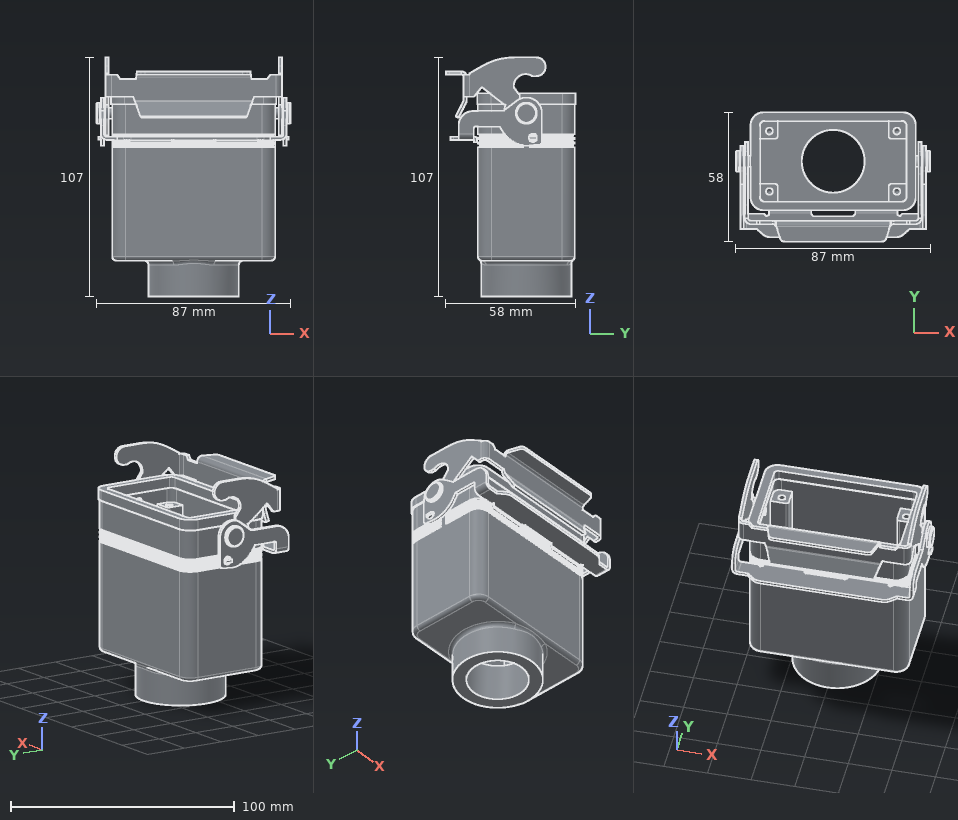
import cadquery as cq
import math


cut_margin = 2.0
selection_margin = 0.1

body_length = 73.0
body_width = 43.5
corner_radius = 6.0
body_bottom = 16.0
body_bottom_radius = 2.0
rim_height = 5.0
rim_top = 91.0
rim_bottom = rim_top - rim_height
rim_length = 74.0
rim_width = 44.0

opening_length = 65.4
opening_width = 36.0
opening_radius = 1.8
cavity_undercut = 0.3
cavity_radius = 3.0
floor_thickness = 3.0
floor_top = body_bottom + floor_thickness

collar_diameter = 40.5
collar_blend_radius = 1.8
cable_hole_diameter = 28.0

groove_count = 3
groove_top = 72.5
groove_pitch = 2.1
groove_mouth = 1.5
groove_floor_chamfer = 0.5
groove_pad_width = 2.9
groove_depth = 1.0

post_top = 79.4
post_size = 7.9
post_corner_radius = 1.2
post_wall_lap = 1.0
screw_x = 28.5
screw_y = 13.5
screw_hole_diameter = 3.1
screw_hole_depth = 15.0
drill_point_height = screw_hole_diameter / 2

pivot_z = 82.0
pin_shaft_diameter = 5.0
pin_tail_diameter = 3.3
pin_head_diameter = 9.5
pin_head_chamfer = 0.5
pin_head_inner_x = 42.0
pin_head_outer_x = 43.5
pin_mark_diameter = 0.6
pin_mark_depth = 0.3

sheet = 1.5
inner_bend_radius = 1.2
outer_bend_radius = inner_bend_radius + sheet
bail_outer_x = 41.5
lever_outer_x = 39.5

bail_eye_radius = 7.0
bail_arm_top = 83.0
bail_arm_bottom = 76.0
bail_slope_angle = math.radians(37)
bail_elbow_radius = 6.5
bail_back_y = -23.4
bail_front_y = -30.3
bail_plate_bottom = 70.0
bail_plate_top = bail_plate_bottom + sheet
bail_bend_top = bail_plate_bottom + outer_bend_radius
bail_lobe_bottom = 67.4
bail_inner_corner_radius = 0.7
lobe_start_y = -11.9
lobe_arc_start = (-9.9, 72.8)
lobe_arc_middle = (-6.2, 69.3)
lobe_toe_start = (5.8, 67.8)
lobe_toe_radius = 1.3
lobe_toe_top = 69.0
lip_front_y = -34.0
lip_root_x = 34.2
lip_corner_x = 30.0
lip_corner_radius = 5.0
stop_tab_inner_x = 9.8
stop_tab_outer_x = 28.8
stop_tab_y = -22.0
stop_tab_bottom = 68.9
stop_tab_bend_radius = 1.0
plate_notch_depth = 1.1
plate_notch_corner = 0.9
relief_width = 2.1
bail_hole_y = 2.95
bail_hole_z = 71.0
bail_hole_diameter = 3.6
hole_lug_bottom = 70.2
hole_lug_top = 71.5
hole_lug_outer_x = 42.6

hook_top = 107.0
hook_nose_radius = 4.25
hook_nose_y = 4.4
hook_back_start_y = -5.5
hook_back_radius = 28.0
hook_back_angle = math.radians(30)
band_front_y = -28.1
band_back_y = band_front_y + sheet
band_bend_y = band_front_y + outer_bend_radius
band_top = 99.2
band_bottom = 89.3
band_notch_z = 97.3
band_notch_floor_x = 32.8
band_notch_top_x = 34.2
lever_hub_radius = 10.0
lever_neck_y = -2.9
lever_eye_radius = 5.5
hub_start_y = -9.3
arm_foot_y = -23.4
arm_notch_peak = (-19.9, 93.6)
arm_notch_end = (-9.8, 85.8)
hook_neck = (lever_neck_y, 90.0)
hook_mouth_tip = (-5.5, 93.5)
hook_mouth_top = (-1.4, 99.3)
hook_mouth_end = (2.7, 98.5)

flange_top = 100.7
flange_tip_y = -35.98
flange_outer_radius = 2.5
flange_inner_radius = flange_outer_radius - sheet
flange_root_half = 25.4
flange_tip_half = 23.3
flange_tip_radius = 2.0
flap_bend_z = 87.8
flap_angle = math.radians(27)
flap_length = 7.5
flap_root_half = 27.0
flap_tip_half = 23.6
flap_tip_radius = 1.5


def rounded_block(length, width, bottom, top, radius):
    """Upright block, centred in X and Y, with rounded vertical edges."""
    block = cq.Workplane("XY").box(length, width, top - bottom, centered=(True, True, False))
    return block.edges("|Z").fillet(radius).translate((0, 0, bottom))


def span_box(x_span, y_span, z_span):
    """Box given by its (low, high) limits along each axis."""
    size = [high - low for low, high in (x_span, y_span, z_span)]
    corner = (x_span[0], y_span[0], z_span[0])
    return cq.Workplane("XY").box(*size, centered=False).translate(corner)


def x_cylinder(diameter, y, z, x_start, x_end):
    """Cylinder along X."""
    circle = cq.Workplane("YZ", origin=(x_start, y, z)).circle(diameter / 2)
    return circle.extrude(x_end - x_start)


def both_sides(shape):
    """The shape together with its mirror image across the YZ plane."""
    return shape.union(shape.mirror("YZ"))


def groove_ring(top):
    """Ring that cuts one groove around the body, with sloped corners at the groove floor."""
    bottom = top - groove_mouth
    floor_length = body_length - 2 * groove_depth
    floor_width = body_width - 2 * groove_depth
    outside = rounded_block(body_length + cut_margin, body_width + cut_margin, bottom, top, corner_radius)
    core = rounded_block(floor_length, floor_width, bottom, top, corner_radius - groove_depth)
    floor_box = cq.selectors.BoxSelector(
        (-body_length / 2, -body_width / 2, bottom - cut_margin),
        (body_length / 2, body_width / 2, top + cut_margin),
        boundingbox=True,
    )
    ring = outside.cut(core)
    return ring.edges(floor_box).edges("not |Z").chamfer(groove_floor_chamfer)


def groove_pad():
    """Bridge across the grooves below the pivot on the +X side."""
    pad_bottom = groove_top - (groove_count - 1) * groove_pitch - groove_mouth
    return span_box(
        (body_length / 2 - groove_depth, body_length / 2),
        (-groove_pad_width / 2, groove_pad_width / 2),
        (pad_bottom, groove_top),
    )


def screw_post(x_side, y_side):
    """Square screw post in one corner of the cavity, running on into both walls."""
    inner_x = opening_length / 2 - post_size
    inner_y = opening_width / 2 - post_size
    post = span_box(
        (inner_x, opening_length / 2 + post_wall_lap),
        (inner_y, opening_width / 2 + post_wall_lap),
        (body_bottom + body_bottom_radius, post_top),
    )
    post = post.edges("|Z and <X and <Y").fillet(post_corner_radius)
    if x_side < 0:
        post = post.mirror("YZ")
    if y_side < 0:
        post = post.mirror("XZ")
    return post


def screw_hole(x, y):
    """Blind hole with a conical drill point, opening at the post top."""
    radius = screw_hole_diameter / 2
    bottom = post_top - screw_hole_depth
    profile = (
        cq.Workplane("XZ")
        .moveTo(0, post_top)
        .lineTo(radius, post_top)
        .lineTo(radius, bottom)
        .lineTo(0, bottom - drill_point_height)
        .close()
    )
    return profile.revolve(360, (0, 0, 0), (0, 1, 0)).translate((x, y, 0))


def make_housing():
    shell = rounded_block(body_length, body_width, body_bottom, rim_bottom, corner_radius)
    shell = shell.faces("<Z").edges().fillet(body_bottom_radius)
    shell = shell.union(rounded_block(rim_length, rim_width, rim_bottom, rim_top, corner_radius))

    collar = cq.Workplane("XY").circle(collar_diameter / 2).extrude(floor_top)
    shell = shell.union(collar)
    reach = collar_diameter / 2 + selection_margin
    joint = cq.selectors.BoxSelector(
        (-reach, -reach, body_bottom - selection_margin),
        (reach, reach, body_bottom + body_bottom_radius),
        boundingbox=True,
    )
    shell = shell.edges(joint).fillet(collar_blend_radius)

    for index in range(groove_count):
        shell = shell.cut(groove_ring(groove_top - index * groove_pitch))
    shell = shell.union(both_sides(groove_pad()))

    undercut = 2 * cavity_undercut
    shell = shell.cut(rounded_block(opening_length, opening_width, rim_bottom, rim_top, opening_radius))
    cavity_length = opening_length + undercut
    cavity_width = opening_width + undercut
    shell = shell.cut(rounded_block(cavity_length, cavity_width, floor_top, rim_bottom, cavity_radius))

    for x_side in (-1, 1):
        for y_side in (-1, 1):
            shell = shell.union(screw_post(x_side, y_side))
            shell = shell.cut(screw_hole(x_side * screw_x, y_side * screw_y))

    shell = shell.cut(cq.Workplane("XY").circle(cable_hole_diameter / 2).extrude(floor_top + cut_margin))
    pin_bore = x_cylinder(pin_tail_diameter, 0, pivot_z, -body_length / 2, body_length / 2)
    return shell.cut(pin_bore)


def pivot_pin():
    """Pin on the +X side: tail in the housing wall, shaft through both arms, chamfered head."""
    tail_end = opening_length / 2 + cavity_undercut
    tail = x_cylinder(pin_tail_diameter, 0, pivot_z, tail_end, body_length / 2)
    mark = x_cylinder(pin_mark_diameter, 0, pivot_z, tail_end, tail_end + pin_mark_depth)
    shaft = x_cylinder(pin_shaft_diameter, 0, pivot_z, body_length / 2, pin_head_inner_x)
    head = x_cylinder(pin_head_diameter, 0, pivot_z, pin_head_inner_x, pin_head_outer_x)
    head = head.faces(">X").chamfer(pin_head_chamfer)
    return tail.cut(mark).union(shaft).union(head)


def bent_channel(outer_x, low, plane, offset, depth):
    """Flat strip at `low` whose two ends curl up by a quarter turn to meet the side arms.

    The section lies in `plane`, placed at `offset` along the plane's normal, and is `depth` thick.
    """
    bend_end = low + outer_bend_radius
    flat_end = outer_x - outer_bend_radius
    section = (
        cq.Workplane(plane)
        .workplane(offset=offset)
        .moveTo(-outer_x, bend_end)
        .radiusArc((-flat_end, low), -outer_bend_radius)
        .lineTo(flat_end, low)
        .radiusArc((outer_x, bend_end), -outer_bend_radius)
        .lineTo(outer_x - sheet, bend_end)
        .radiusArc((flat_end, low + sheet), inner_bend_radius)
        .lineTo(-flat_end, low + sheet)
        .radiusArc((-outer_x + sheet, bend_end), inner_bend_radius)
        .close()
    )
    return section.extrude(depth)


def bail_arm():
    """Flat side arm of the bail on the +X side, down to the bend of its cross plate."""
    slope_y = -bail_eye_radius * math.sin(bail_slope_angle)
    slope_z = pivot_z + bail_eye_radius * math.cos(bail_slope_angle)
    slope_end_y = slope_y - (slope_z - bail_arm_top) / math.tan(bail_slope_angle)
    elbow_start_y = bail_front_y + bail_elbow_radius
    arm = (
        cq.Workplane("YZ", origin=(bail_outer_x - sheet, 0, 0))
        .moveTo(bail_eye_radius, pivot_z)
        .threePointArc((0, pivot_z + bail_eye_radius), (slope_y, slope_z))
        .lineTo(slope_end_y, bail_arm_top)
        .lineTo(elbow_start_y, bail_arm_top)
        .radiusArc((bail_front_y, bail_arm_top - bail_elbow_radius), -bail_elbow_radius)
        .lineTo(bail_front_y, bail_bend_top)
        .lineTo(bail_back_y, bail_bend_top)
        .lineTo(bail_back_y, bail_arm_bottom - bail_inner_corner_radius)
        .radiusArc((bail_back_y + bail_inner_corner_radius, bail_arm_bottom), bail_inner_corner_radius)
        .lineTo(lobe_start_y, bail_arm_bottom)
        .lineTo(*lobe_arc_start)
        .threePointArc(lobe_arc_middle, (0, bail_lobe_bottom))
        .lineTo(*lobe_toe_start)
        .radiusArc((bail_eye_radius, lobe_toe_top), -lobe_toe_radius)
        .close()
        .extrude(sheet)
    )
    hole = x_cylinder(bail_hole_diameter, bail_hole_y, bail_hole_z, bail_outer_x - sheet, bail_outer_x)
    lug = x_cylinder(bail_hole_diameter, bail_hole_y, bail_hole_z, bail_outer_x - sheet, hole_lug_outer_x)
    lug = lug.intersect(
        span_box((0, hole_lug_outer_x), (0, bail_eye_radius), (hole_lug_bottom, hole_lug_top))
    )
    return arm.cut(hole).union(lug)


def bail_plate():
    """Cross plate of the bail: bent strip, front lip, two stop tabs and the notches between them."""
    depth = bail_back_y - bail_front_y
    plate = bent_channel(bail_outer_x, bail_plate_bottom, "XZ", -bail_back_y, depth)

    lip = (
        cq.Workplane("XY", origin=(0, 0, bail_plate_bottom))
        .moveTo(-lip_root_x, bail_front_y)
        .lineTo(-lip_corner_x, lip_front_y)
        .lineTo(lip_corner_x, lip_front_y)
        .lineTo(lip_root_x, bail_front_y)
        .close()
        .extrude(sheet)
        .edges("|Z and <Y")
        .fillet(lip_corner_radius)
    )
    plate = plate.union(lip)

    stop_tab = span_box(
        (stop_tab_inner_x, stop_tab_outer_x), (bail_back_y, stop_tab_y), (stop_tab_bottom, bail_plate_top)
    )
    stop_tab = stop_tab.edges("|X and >Y and >Z").fillet(stop_tab_bend_radius)
    plate = plate.union(both_sides(stop_tab))

    middle_notch = span_box(
        (-stop_tab_inner_x, stop_tab_inner_x),
        (bail_back_y - plate_notch_depth, bail_back_y),
        (bail_plate_bottom, bail_plate_top),
    )
    middle_notch = middle_notch.edges("|Z and <Y").chamfer(plate_notch_corner)
    relief = (
        cq.Workplane("XY", origin=(0, 0, bail_plate_bottom))
        .moveTo(stop_tab_outer_x, bail_back_y)
        .lineTo(stop_tab_outer_x, bail_back_y - plate_notch_depth / 2)
        .lineTo(stop_tab_outer_x + relief_width / 2, bail_back_y - plate_notch_depth)
        .lineTo(stop_tab_outer_x + relief_width, bail_back_y)
        .close()
        .extrude(sheet)
    )
    return plate.cut(middle_notch).cut(both_sides(relief))


def lever_arm():
    """Flat hook arm of the lever on the +X side, up to the bend of its band."""
    nose_z = hook_top - hook_nose_radius
    back_end_y = hook_back_start_y - hook_back_radius * math.sin(hook_back_angle)
    back_end_z = hook_top - hook_back_radius * (1 - math.cos(hook_back_angle))
    bend_z = back_end_z - (back_end_y - band_bend_y) * math.tan(hook_back_angle)
    hub_bottom_z = pivot_z - math.sqrt(lever_hub_radius**2 - lever_eye_radius**2)
    neck_z = pivot_z + math.sqrt(lever_eye_radius**2 - lever_neck_y**2)
    hub_start_z = pivot_z + math.sqrt(lever_hub_radius**2 - hub_start_y**2)
    arm = (
        cq.Workplane("YZ", origin=(lever_outer_x - sheet, 0, 0))
        .moveTo(hook_nose_y, hook_top)
        .lineTo(hook_back_start_y, hook_top)
        .radiusArc((back_end_y, back_end_z), -hook_back_radius)
        .lineTo(band_bend_y, bend_z)
        .lineTo(band_bend_y, band_bottom)
        .lineTo(arm_foot_y, band_bottom)
        .lineTo(*arm_notch_peak)
        .lineTo(*arm_notch_end)
        .lineTo(hub_start_y, hub_start_z)
        .threePointArc((0, pivot_z - lever_hub_radius), (lever_eye_radius, hub_bottom_z))
        .lineTo(lever_eye_radius, pivot_z)
        .threePointArc((0, pivot_z + lever_eye_radius), (lever_neck_y, neck_z))
        .lineTo(*hook_neck)
        .lineTo(*hook_mouth_tip)
        .threePointArc(hook_mouth_top, hook_mouth_end)
        .lineTo(hook_nose_y, hook_top - 2 * hook_nose_radius)
        .threePointArc((hook_nose_y + hook_nose_radius, nose_z), (hook_nose_y, hook_top))
        .close()
    )
    return arm.extrude(sheet)


def lever_band():
    """Cross band of the lever, bent into both arms, with a notch either side of the finger tab."""
    height = band_top - band_bottom
    band = bent_channel(lever_outer_x, band_front_y, "XY", band_bottom, height)
    notch = (
        cq.Workplane("XZ", origin=(0, band_back_y, 0))
        .moveTo(-band_notch_top_x, band_top)
        .lineTo(-band_notch_floor_x, band_notch_z)
        .lineTo(band_notch_floor_x, band_notch_z)
        .lineTo(band_notch_top_x, band_top)
        .close()
        .extrude(sheet)
    )
    return band.cut(notch)


def finger_tab():
    """Middle of the band: upper flange bent forward and lower flap tilted forward."""
    flap_sin = math.sin(flap_angle)
    flap_cos = math.cos(flap_angle)
    bend_center_y = band_front_y - inner_bend_radius

    def bend_end(radius):
        return (bend_center_y + radius * flap_cos, flap_bend_z - radius * flap_sin)

    def tip_below(bend_point):
        return (bend_point[0] - flap_length * flap_sin, bend_point[1] - flap_length * flap_cos)

    front_bend_end = bend_end(inner_bend_radius)
    back_bend_end = bend_end(outer_bend_radius)
    front_tip = tip_below(front_bend_end)
    back_tip = tip_below(back_bend_end)
    flange_bottom = flange_top - sheet
    strip = (
        cq.Workplane("YZ", origin=(-flap_root_half, 0, 0))
        .moveTo(flange_tip_y, flange_top)
        .lineTo(band_back_y - flange_outer_radius, flange_top)
        .radiusArc((band_back_y, flange_top - flange_outer_radius), flange_outer_radius)
        .lineTo(band_back_y, flap_bend_z)
        .radiusArc(back_bend_end, outer_bend_radius)
        .lineTo(*back_tip)
        .lineTo(*front_tip)
        .lineTo(*front_bend_end)
        .radiusArc((band_front_y, flap_bend_z), -inner_bend_radius)
        .lineTo(band_front_y, flange_bottom - flange_inner_radius)
        .radiusArc((band_front_y - flange_inner_radius, flange_bottom), -flange_inner_radius)
        .lineTo(flange_tip_y, flange_bottom)
        .close()
        .extrude(2 * flap_root_half)
    )

    flap_outline = (
        cq.Workplane("XZ")
        .moveTo(-flap_tip_half, back_tip[1])
        .lineTo(flap_tip_half, back_tip[1])
        .lineTo(flap_root_half, band_bottom)
        .lineTo(flange_root_half, flange_top)
        .lineTo(-flange_root_half, flange_top)
        .lineTo(-flap_root_half, band_bottom)
        .close()
        .extrude(-flange_tip_y)
        .edges("|Y and <Z")
        .fillet(flap_tip_radius)
    )

    flange_outline = (
        cq.Workplane("XY", origin=(0, 0, back_tip[1]))
        .moveTo(-flange_tip_half, flange_tip_y)
        .lineTo(flange_tip_half, flange_tip_y)
        .lineTo(flange_root_half, band_back_y - flange_outer_radius)
        .lineTo(flap_root_half, band_front_y)
        .lineTo(flap_root_half, band_back_y)
        .lineTo(-flap_root_half, band_back_y)
        .lineTo(-flap_root_half, band_front_y)
        .lineTo(-flange_root_half, band_back_y - flange_outer_radius)
        .close()
        .extrude(flange_top - back_tip[1])
        .edges("|Z and <Y")
        .fillet(flange_tip_radius)
    )
    return strip.intersect(flap_outline).intersect(flange_outline)


def make_latch():
    side_parts = pivot_pin().union(bail_arm()).union(lever_arm())
    latch = both_sides(side_parts)
    return latch.union(bail_plate()).union(lever_band()).union(finger_tab())


housing = make_housing()
latch = make_latch()

result = cq.Compound.makeCompound([housing.val(), latch.val()])